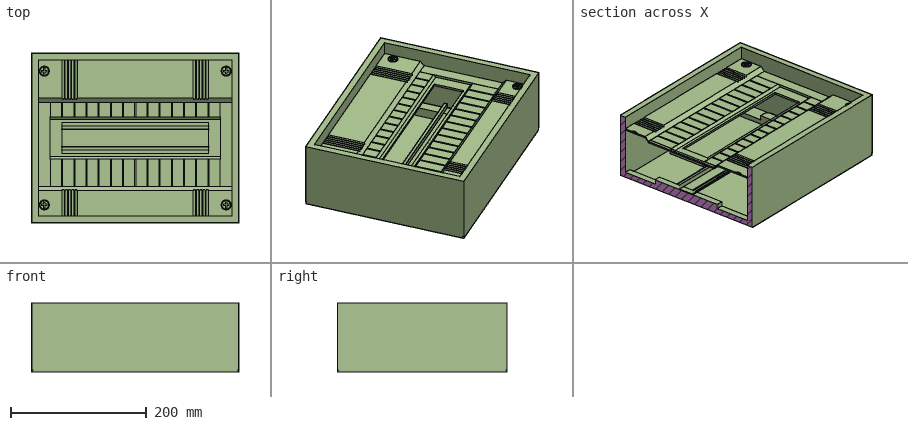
import cadquery as cq

LENGTH = 305.0
WIDTH = 250.0
HEIGHT = 102.0
WALL = 10.0
FLOOR = 1.8
FOOT_HEIGHT = 3.5
FOOT_CORNER_RADIUS = 1.8

INNER_LENGTH = LENGTH - 2 * WALL
INNER_WIDTH = WIDTH - 2 * WALL

RIM_DEPTH = 19.2
BAND_TOP = HEIGHT - RIM_DEPTH
SINK_DEPTH = 6.0
MIDDLE_TOP = BAND_TOP - SINK_DEPTH
MIDDLE_BACK_Y = 52.5
MIDDLE_FRONT_Y = -71.5
TRAY_DEPTH = 3.7
TRAY_TOP = MIDDLE_TOP - TRAY_DEPTH
TRAY_LENGTH = 251.0
TRAY_WIDTH = 62.5
WINDOW_LENGTH = 216.0
WINDOW_WIDTH = 46.0
PANEL_THICKNESS = 3.0

FIELD_COUNT = 14
FIELD_PITCH = TRAY_LENGTH / FIELD_COUNT
FIELD_GAP = 1.5
FIELD_HEIGHT = 0.3

GROOVE_COUNT = 5
GROOVE_WIDTH = 3.7
GROOVE_DEPTH = 1.5
GROOVE_GROUP_WIDTH = 22.5
GROOVE_PITCH = (GROOVE_GROUP_WIDTH - GROOVE_WIDTH) / (GROOVE_COUNT - 1)
GROOVE_GROUP_X = (WINDOW_LENGTH - GROOVE_GROUP_WIDTH) / 2

SCREW_X = 134.0
SCREW_Y = 98.5
SCREW_HOLE_RADIUS = 7.3
SCREW_HEAD_RADIUS = 6.5
SCREW_RING_DEPTH = 1.0
CROSS_LENGTH = 8.5
CROSS_WIDTH = 2.0
CROSS_DEPTH = 1.5

LEDGE_INNER_X = 119.0
LEDGE_LENGTH = INNER_LENGTH / 2 - LEDGE_INNER_X
LEDGE_HEIGHT = 7.3
PAD_HEIGHT = 7.0
PAD_LENGTH = 15.2
PAD_WIDTH = 118.3
PAD_CORNER_RADIUS = 7.5
PAD_TOP = FLOOR + LEDGE_HEIGHT + PAD_HEIGHT

RAIL_LENGTH = 2 * (LEDGE_INNER_X + PAD_LENGTH)
RAIL_WIDTH = 34.8
RAIL_INNER_WIDTH = 24.5
RAIL_HEIGHT = 7.5
RAIL_THICKNESS = 1.0


def block(length, width, bottom, top, x=0.0, y=0.0):
    """Upright box centred on (x, y) between two heights."""
    return cq.Workplane("XY", origin=(x, y, bottom)).rect(length, width).extrude(top - bottom)


def middle_band(length, floor_z, top_z):
    """Trapezoidal channel along X whose two sides rise at 45 degrees."""
    rise = top_z - floor_z
    return (
        cq.Workplane("YZ", origin=(-length / 2, 0, 0))
        .moveTo(MIDDLE_FRONT_Y, floor_z)
        .lineTo(MIDDLE_BACK_Y, floor_z)
        .lineTo(MIDDLE_BACK_Y + rise, top_z)
        .lineTo(MIDDLE_FRONT_Y - rise, top_z)
        .close()
        .extrude(length)
    )


def tray():
    """Recess around the window: 45 degree long sides and upright ends."""
    half_width = TRAY_WIDTH / 2
    return (
        cq.Workplane("YZ", origin=(-TRAY_LENGTH / 2, 0, 0))
        .moveTo(-half_width, MIDDLE_TOP)
        .lineTo(half_width, MIDDLE_TOP)
        .lineTo(half_width - TRAY_DEPTH, TRAY_TOP)
        .lineTo(TRAY_DEPTH - half_width, TRAY_TOP)
        .close()
        .extrude(TRAY_LENGTH)
    )


def cavity():
    """Inside of the box, leaving a panel of even thickness above it."""
    space = block(INNER_LENGTH, INNER_WIDTH, FLOOR, BAND_TOP - PANEL_THICKNESS)
    channel = middle_band(INNER_LENGTH, MIDDLE_TOP - PANEL_THICKNESS, BAND_TOP - PANEL_THICKNESS)
    tray_floor = block(
        TRAY_LENGTH + 2 * PANEL_THICKNESS, TRAY_WIDTH, TRAY_TOP - PANEL_THICKNESS, MIDDLE_TOP
    )
    return space.cut(channel).cut(tray_floor)


def fields():
    """Two rows of shallow rectangular fields, one on each side of the tray."""
    solids = cq.Workplane("XY")
    for front, back in ((MIDDLE_FRONT_Y, -TRAY_WIDTH / 2), (TRAY_WIDTH / 2, MIDDLE_BACK_Y)):
        for index in range(FIELD_COUNT):
            x = (index - (FIELD_COUNT - 1) / 2) * FIELD_PITCH
            solids = solids.add(
                block(
                    FIELD_PITCH - FIELD_GAP, back - front, MIDDLE_TOP, MIDDLE_TOP + FIELD_HEIGHT,
                    x, (front + back) / 2,
                )
            )
    return solids


def grooves():
    """Round-bottomed grooves along Y near both ends of the raised bands."""
    cutters = cq.Workplane("XY")
    half = GROOVE_WIDTH / 2
    for group_x in (-GROOVE_GROUP_X, GROOVE_GROUP_X):
        for index in range(GROOVE_COUNT):
            x = group_x + (index - (GROOVE_COUNT - 1) / 2) * GROOVE_PITCH
            cutter = (
                cq.Workplane("XZ", origin=(x, INNER_WIDTH / 2, BAND_TOP))
                .moveTo(-half, 0)
                .threePointArc((0, -GROOVE_DEPTH), (half, 0))
                .close()
                .extrude(INNER_WIDTH)
            )
            cutters = cutters.add(cutter)
    return cutters


def screw_recesses(x, y):
    """Ring around a flush screw head and the cross slot in the head."""
    ring = (
        cq.Workplane("XY", origin=(x, y, BAND_TOP))
        .circle(SCREW_HOLE_RADIUS)
        .circle(SCREW_HEAD_RADIUS)
        .extrude(-SCREW_RING_DEPTH)
    )
    slot = block(CROSS_LENGTH, CROSS_WIDTH, BAND_TOP - CROSS_DEPTH, BAND_TOP, x, y)
    cross_slot = block(CROSS_WIDTH, CROSS_LENGTH, BAND_TOP - CROSS_DEPTH, BAND_TOP, x, y)
    return ring, slot.union(cross_slot)


def rail_support(side):
    """Ledge on the floor at one end wall with the rail pad on top."""
    ledge_x = side * (LEDGE_INNER_X + LEDGE_LENGTH / 2)
    pad_x = side * (LEDGE_INNER_X + PAD_LENGTH / 2)
    outer_corners = "|Z and >X" if side > 0 else "|Z and <X"
    ledge = block(LEDGE_LENGTH, INNER_WIDTH, FLOOR, FLOOR + LEDGE_HEIGHT, ledge_x)
    pad = block(PAD_LENGTH, PAD_WIDTH, FLOOR + LEDGE_HEIGHT, PAD_TOP, pad_x)
    pad = pad.edges(outer_corners).fillet(PAD_CORNER_RADIUS)
    return ledge.union(pad)


def make_housing():
    body = block(LENGTH, WIDTH, FOOT_HEIGHT, HEIGHT)
    foot = block(LENGTH, WIDTH, 0, FOOT_HEIGHT).edges("|Z").fillet(FOOT_CORNER_RADIUS)
    body = body.union(foot)
    body = body.cut(block(INNER_LENGTH, INNER_WIDTH, BAND_TOP, HEIGHT))
    body = body.cut(middle_band(INNER_LENGTH, MIDDLE_TOP, BAND_TOP))
    body = body.cut(tray())
    body = body.cut(cavity())
    body = body.cut(block(WINDOW_LENGTH, WINDOW_WIDTH, FLOOR, TRAY_TOP))
    for field in fields().vals():
        body = body.union(cq.Workplane(field))
    for groove in grooves().vals():
        body = body.cut(cq.Workplane(groove))
    for x in (-SCREW_X, SCREW_X):
        for y in (-SCREW_Y, SCREW_Y):
            for recess in screw_recesses(x, y):
                body = body.cut(recess)
    for side in (-1, 1):
        body = body.union(rail_support(side))
    return body


def make_rail():
    """Hat-section rail along X, resting on the pads."""
    web_width = RAIL_INNER_WIDTH + 2 * RAIL_THICKNESS
    rail_top = PAD_TOP + RAIL_HEIGHT
    web = block(RAIL_LENGTH, web_width, PAD_TOP, rail_top)
    flanges = block(RAIL_LENGTH, RAIL_WIDTH, rail_top - RAIL_THICKNESS, rail_top)
    channel = block(RAIL_LENGTH, RAIL_INNER_WIDTH, PAD_TOP + RAIL_THICKNESS, rail_top)
    return web.union(flanges).cut(channel)


housing = make_housing()
rail = make_rail()

result = cq.Compound.makeCompound([housing.val(), rail.val()])